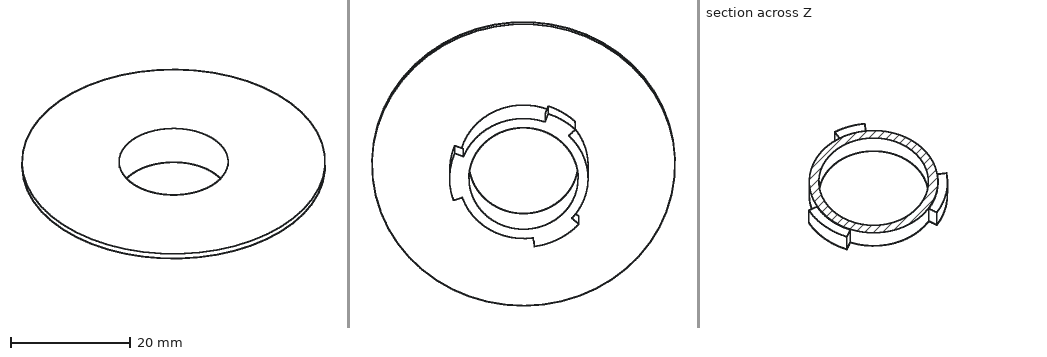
import cadquery as cq
import math

flange_diameter = 50.8
flange_thickness = 1.0
total_height = 7.15
hub_radius = 10.8
bore_radius = 9.15

tab_radius = 12.4
tab_height = 3.5
wide_tab_angle = 40.0
narrow_tab_angle = 25.0
tabs = [
    (0.0, wide_tab_angle),
    (120.0, wide_tab_angle),
    (240.5, narrow_tab_angle),
]


def polar_point(radius, angle):
    """Point at the given radius and angle in degrees."""
    return (
        radius * math.cos(math.radians(angle)),
        radius * math.sin(math.radians(angle)),
    )


def make_tab(centre_angle, angular_width):
    """Ring sector with radial sides, rooted inside the hub wall."""
    start = centre_angle - angular_width / 2
    end = centre_angle + angular_width / 2
    root_radius = (bore_radius + hub_radius) / 2
    return (
        cq.Workplane("XY")
        .moveTo(*polar_point(root_radius, start))
        .lineTo(*polar_point(tab_radius, start))
        .threePointArc(polar_point(tab_radius, centre_angle), polar_point(tab_radius, end))
        .lineTo(*polar_point(root_radius, end))
        .threePointArc(polar_point(root_radius, centre_angle), polar_point(root_radius, start))
        .close()
        .extrude(tab_height)
    )


hub = cq.Workplane("XY").circle(hub_radius).extrude(total_height)
flange = (
    cq.Workplane("XY")
    .workplane(offset=total_height - flange_thickness)
    .circle(flange_diameter / 2)
    .extrude(flange_thickness)
)
bore = cq.Workplane("XY").circle(bore_radius).extrude(total_height)
result = hub.union(flange).cut(bore)

for tab_direction, tab_width in tabs:
    result = result.union(make_tab(tab_direction, tab_width))